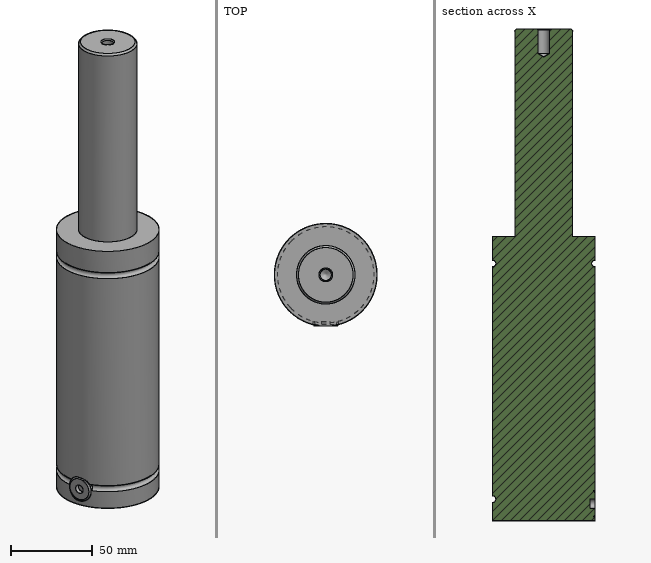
import cadquery as cq
import math

total_height = 302.0
body_diameter = 63.0
body_height = 174.5
rod_diameter = 36.0
rod_chamfer = 1.2

groove_radius = 1.95
groove_heights = (13.3, 158.0)

rod_hole_diameter = 7.0
rod_hole_mouth_diameter = 8.5
rod_hole_depth = 15.0
drill_point_angle = 118.0

plug_diameter = 16.0
plug_face_diameter = 14.0
plug_height = 10.5
plug_length = 6.0
plug_socket_diameter = 5.5
plug_socket_depth = 3.0


def make_body():
    body = cq.Workplane("XY").circle(body_diameter / 2).extrude(body_height)
    for height in groove_heights:
        groove = (
            cq.Workplane("XZ")
            .center(body_diameter / 2, height)
            .circle(groove_radius)
            .revolve(360, (-body_diameter / 2, 0), (-body_diameter / 2, 1))
        )
        body = body.cut(groove)
    return body


def make_rod():
    rod = cq.Workplane("XY").circle(rod_diameter / 2).extrude(total_height)
    return rod.faces(">Z").chamfer(rod_chamfer)


def make_rod_hole():
    """Countersunk blind hole with a conical drill point."""
    radius = rod_hole_diameter / 2
    mouth_radius = rod_hole_mouth_diameter / 2
    sink_depth = mouth_radius - radius
    point_length = radius / math.tan(math.radians(drill_point_angle / 2))
    floor = total_height - rod_hole_depth
    return (
        cq.Workplane("XZ")
        .moveTo(0, total_height)
        .lineTo(mouth_radius, total_height)
        .lineTo(radius, total_height - sink_depth)
        .lineTo(radius, floor)
        .lineTo(0, floor - point_length)
        .close()
        .revolve(360, (0, 0), (0, 1))
    )


def plug_cylinder(diameter, length):
    """Cylinder running inward from the plug face, which touches the body's outer diameter."""
    face_plane = cq.Workplane("XZ", origin=(0, -body_diameter / 2, plug_height))
    return face_plane.circle(diameter / 2).extrude(-length)


def make_plug():
    edge_chamfer = (plug_diameter - plug_face_diameter) / 2
    return plug_cylinder(plug_diameter, plug_length).faces("<Y").chamfer(edge_chamfer)


plug_bore = plug_cylinder(plug_diameter, plug_length)
plug_socket = plug_cylinder(plug_socket_diameter, plug_socket_depth)

result = make_body().union(make_rod()).cut(make_rod_hole())
result = result.cut(plug_bore).union(make_plug()).cut(plug_socket)